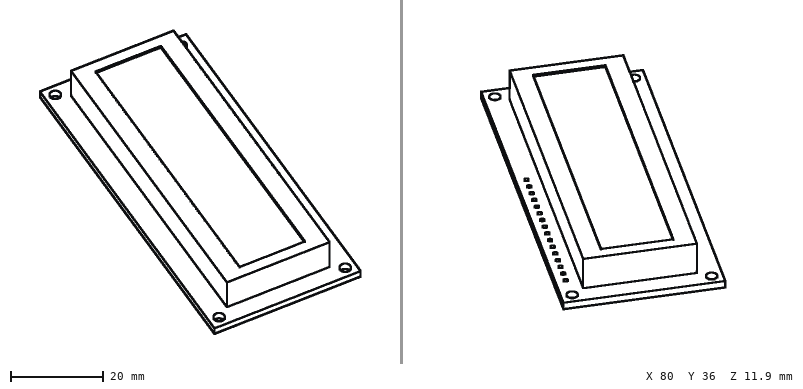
import cadquery as cq

board_length = 80.0
board_width = 36.0
board_thickness = 1.8

housing_length = 71.4
housing_width = 25.3
housing_height = 7.8
total_height = 11.9
underside_depth = total_height - board_thickness - housing_height

window_length = 66.0
window_width = 16.1
window_depth = 0.5

mount_diameter = 2.5
mount_inset = 2.5

pin_diameter = 1.0
pin_count = 16
pin_row_length = 38.1
pin_pitch = pin_row_length / (pin_count - 1)
first_pin_x = -32.0
pin_inset = 2.3
pin_row_y = board_width / 2 - pin_inset


def centred_block(length, width, height, bottom):
    """Box centred in X and Y, rising from the given Z level."""
    return (
        cq.Workplane("XY")
        .workplane(offset=bottom)
        .rect(length, width)
        .extrude(height)
    )


def board_holes(points, diameter):
    """Cylinders spanning the board thickness at the given points."""
    return (
        cq.Workplane("XY")
        .pushPoints(points)
        .circle(diameter / 2)
        .extrude(board_thickness)
    )


mount_x = board_length / 2 - mount_inset
mount_y = board_width / 2 - mount_inset
mount_points = [(sx * mount_x, sy * mount_y) for sx in (-1, 1) for sy in (-1, 1)]
pin_points = [(first_pin_x + i * pin_pitch, pin_row_y) for i in range(pin_count)]

board = centred_block(board_length, board_width, board_thickness, 0)
board = board.cut(board_holes(mount_points, mount_diameter))
board = board.cut(board_holes(pin_points, pin_diameter))

housing = centred_block(housing_length, housing_width, housing_height, board_thickness)
housing_top = board_thickness + housing_height
window = centred_block(window_length, window_width, window_depth, housing_top - window_depth)
underside = centred_block(housing_length, housing_width, underside_depth, -underside_depth)

result = board.union(housing).union(underside).cut(window)